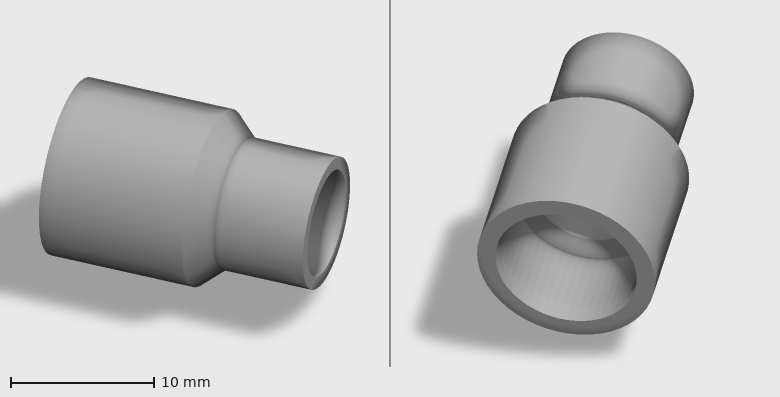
import cadquery as cq

total_length = 19.05
large_length = 10.65
cone_length = 1.8
large_diameter = 12.75
small_diameter = 9.52
large_bore_diameter = 10.13
small_bore_diameter = 7.7
large_bore_depth = 6.3
bore_cone_length = 0.72


def stepped_body(start_diameter, end_diameter, cone_start, cone_run):
    """Solid of revolution about X: cylinder, cone, smaller cylinder."""
    start_radius = start_diameter / 2
    end_radius = end_diameter / 2
    return (
        cq.Workplane("XY")
        .moveTo(0, 0)
        .lineTo(0, start_radius)
        .lineTo(cone_start, start_radius)
        .lineTo(cone_start + cone_run, end_radius)
        .lineTo(total_length, end_radius)
        .lineTo(total_length, 0)
        .close()
        .revolve(360, (0, 0, 0), (1, 0, 0))
    )


outer_body = stepped_body(large_diameter, small_diameter, large_length, cone_length)
bore = stepped_body(large_bore_diameter, small_bore_diameter, large_bore_depth, bore_cone_length)
result = outer_body.cut(bore)